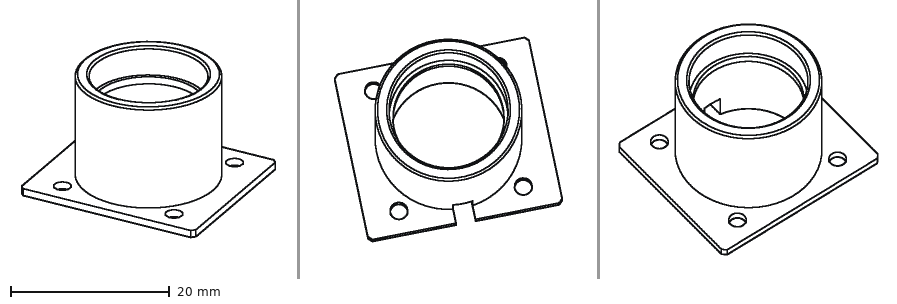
import cadquery as cq

plate_length = 25.0
plate_width = 22.0
plate_thickness = 1.0
corner_chamfer = 0.5
hole_diameter = 2.2
hole_spacing = 16.0
notch_width = 2.5
notch_height = 3.1

total_height = 15.2
tube_diameter = 18.5
bore_diameter = 14.0
counterbore_diameter = 15.0
counterbore_depth = 4.0
lip_thickness = 1.0
lower_bore_diameter = 15.0
outer_rim_chamfer = 0.3
inner_rim_chamfer = 0.3


def make_plate():
    """Flange with clipped corners and screw holes."""
    plate = (
        cq.Workplane("XY")
        .box(plate_length, plate_width, plate_thickness, centered=(True, True, False))
        .edges("|Z")
        .chamfer(corner_chamfer)
    )
    holes = (
        cq.Workplane("XY")
        .rect(hole_spacing, hole_spacing, forConstruction=True)
        .vertices()
        .circle(hole_diameter / 2)
        .extrude(plate_thickness)
    )
    return plate.cut(holes)


def make_tube():
    """Solid cylinder with a chamfered outer rim."""
    tube = cq.Workplane("XY").circle(tube_diameter / 2).extrude(total_height)
    return tube.faces(">Z").edges().chamfer(outer_rim_chamfer)


def make_bore():
    """Through bore narrowed by an inner lip, with a flared mouth."""
    bore_radius = bore_diameter / 2
    lower_bore_radius = lower_bore_diameter / 2
    counterbore_radius = counterbore_diameter / 2
    shoulder_height = total_height - counterbore_depth
    lip_underside = shoulder_height - lip_thickness
    return (
        cq.Workplane("XZ")
        .lineTo(lower_bore_radius, 0)
        .lineTo(lower_bore_radius, lip_underside)
        .lineTo(bore_radius, lip_underside)
        .lineTo(bore_radius, shoulder_height)
        .lineTo(counterbore_radius, shoulder_height)
        .lineTo(counterbore_radius, total_height - inner_rim_chamfer)
        .lineTo(counterbore_radius + inner_rim_chamfer, total_height)
        .lineTo(0, total_height)
        .close()
        .revolve(360, (0, 0, 0), (0, 1, 0))
    )


def make_notch():
    """Slot from the +Y edge of the plate through the foot of the tube wall into the bore."""
    notch_length = plate_width / 2
    return (
        cq.Workplane("XY")
        .center(0, notch_length / 2)
        .rect(notch_width, notch_length)
        .extrude(notch_height)
    )


result = make_plate().union(make_tube()).cut(make_bore()).cut(make_notch())